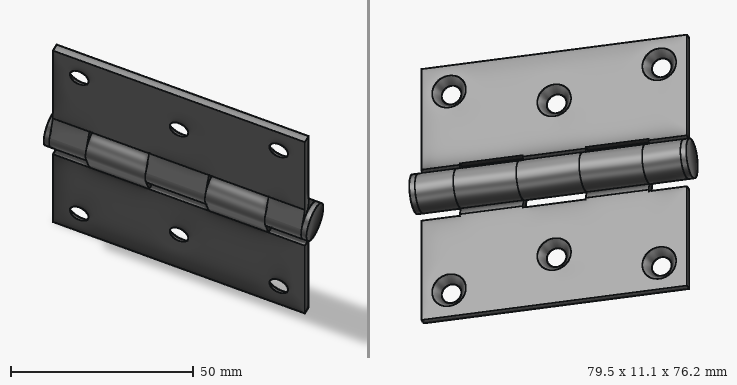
import cadquery as cq
import math


leaf_length = 76.2
leaf_reach = 38.1
sheet_thickness = 2.38
pin_radius = 3.175
pin_overall_length = 79.49
leaf_back_y = -0.6
leaf_edge_z = 7.94
knuckle_width = 18.06

hole_front_diameter = 5.56
countersink_angle = 82
corner_hole_inset = 7.94
middle_hole_z = 23.35

barrel_radius = pin_radius + sheet_thickness
leaf_front_y = leaf_back_y - sheet_thickness
head_thickness = (pin_overall_length - leaf_length) / 2
half_length = leaf_length / 2
hole_back_diameter = hole_front_diameter + 2 * sheet_thickness * math.tan(math.radians(countersink_angle / 2))
corner_hole_x = half_length - corner_hole_inset
corner_hole_z = leaf_reach - corner_hole_inset

bend_distance = math.hypot(leaf_front_y, leaf_edge_z)
bend_direction = math.atan2(leaf_edge_z, -leaf_front_y)
arm_angle = bend_direction - math.acos(barrel_radius / bend_distance)

inner_edge = knuckle_width / 2
outer_edge = inner_edge + knuckle_width
end_and_middle_spans = [
    (-half_length, -outer_edge),
    (-inner_edge, inner_edge),
    (outer_edge, half_length),
]
between_spans = [
    (-outer_edge, -inner_edge),
    (inner_edge, outer_edge),
]


def arm_tangent_point(radius):
    """Point (y, z) where the sloped arm touches a circle of this radius."""
    return (-radius * math.cos(arm_angle), radius * math.sin(arm_angle))


def cylinder_along_x(radius, x_start, x_end):
    return cq.Workplane("YZ", origin=(x_start, 0, 0)).circle(radius).extrude(x_end - x_start)


def make_knuckle(x_start, x_end):
    """Barrel section with the sloped arm that joins it to an upper leaf, without its bore."""
    inner_bend_z = (pin_radius + leaf_back_y * math.cos(arm_angle)) / math.sin(arm_angle)
    arm = (
        cq.Workplane("YZ", origin=(x_start, 0, 0))
        .polyline([
            (leaf_front_y, leaf_edge_z),
            arm_tangent_point(barrel_radius),
            arm_tangent_point(pin_radius),
            (leaf_back_y, inner_bend_z),
            (leaf_back_y, leaf_edge_z),
        ])
        .close()
        .extrude(x_end - x_start)
    )
    return cylinder_along_x(barrel_radius, x_start, x_end).union(arm)


def make_plate():
    """Flat part of an upper leaf, with its three screw holes."""
    plate = cq.Workplane("XY").box(
        leaf_length, sheet_thickness, leaf_reach - leaf_edge_z, centered=(True, False, False)
    ).translate((0, leaf_front_y, leaf_edge_z))
    hole_centres = [
        (-corner_hole_x, corner_hole_z),
        (0, middle_hole_z),
        (corner_hole_x, corner_hole_z),
    ]
    holes = (
        cq.Workplane("XZ", origin=(0, leaf_back_y, 0))
        .pushPoints(hole_centres)
        .circle(hole_back_diameter / 2)
        .extrude(sheet_thickness, taper=countersink_angle / 2)
    )
    return plate.cut(holes)


def make_leaf(knuckle_spans):
    """Leaf standing above the pin axis, with a knuckle over each span of X."""
    leaf = make_plate()
    for x_start, x_end in knuckle_spans:
        leaf = leaf.union(make_knuckle(x_start, x_end))
    bore = cylinder_along_x(pin_radius, -half_length, half_length)
    return leaf.cut(bore)


def make_pin():
    """Pin with a head at each end as wide as the barrel."""
    pin = cylinder_along_x(pin_radius, -half_length, half_length)
    for x_start in (-half_length - head_thickness, half_length):
        pin = pin.union(cylinder_along_x(barrel_radius, x_start, x_start + head_thickness))
    return pin


upper_leaf = make_leaf(end_and_middle_spans)
lower_leaf = make_leaf(between_spans).mirror("XY")
pin = make_pin()

result = cq.Compound.makeCompound([upper_leaf.val(), lower_leaf.val(), pin.val()])